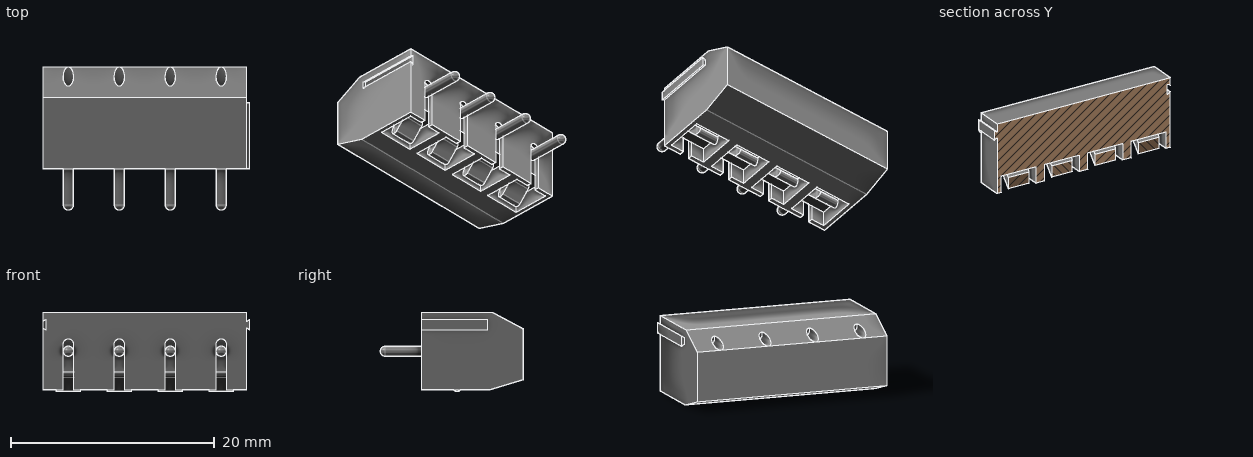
import cadquery as cq
import math

pole_count = 4
pole_pitch = 5.0
housing_width = pole_count * pole_pitch
housing_depth = 10.0
housing_height = 7.6

top_flat_depth = 7.0
bottom_flat_depth = 6.7
rear_top_z = 6.0
rear_bottom_z = 1.0

dovetail_length = 6.5
dovetail_z = 6.4
dovetail_flare = 0.18
dovetail_neck = 0.68
rib_projection = 0.29
groove_depth = 0.33

pin_diameter = 1.0
pin_radius = pin_diameter / 2
pin_projection = 4.05
pin_z = 3.8

slot_width = 1.02
slot_top_z = 5.0
front_wall = 0.5
cavity_width = 4.0
cavity_depth = 4.0
cavity_height = 1.77

test_hole_diameter = 1.0
test_hole_z = rear_top_z + test_hole_diameter / 2
test_hole_depth = 3.0

bar_length = 2.4
bar_radius = 0.42
bar_tilt = 42.0
toe_y = 3.5
toe_drop = 0.17
toe_z = bar_radius - toe_drop
nose_z = 1.48
nose_y = toe_y - (nose_z - toe_z) * math.tan(math.radians(bar_tilt))
end_taper = 15.0

pole_positions = [(pole + 0.5) * pole_pitch for pole in range(pole_count)]


def dovetail(start_x, projection):
    """Dovetail prism widening toward +X, running back from the mating face."""
    half_neck = dovetail_neck / 2
    half_outer = half_neck + dovetail_flare
    return (
        cq.Workplane("XZ", origin=(start_x, 0, dovetail_z))
        .polyline([
            (0, -half_neck),
            (projection, -half_outer),
            (projection, half_outer),
            (0, half_neck),
        ])
        .close()
        .extrude(-dovetail_length)
    )


def pin_slot(x):
    """Round-topped slot through the front wall, open at the underside."""
    slot_radius = slot_width / 2
    arc_z = slot_top_z - slot_radius
    return (
        cq.Workplane("XZ")
        .moveTo(x - slot_radius, 0)
        .lineTo(x - slot_radius, arc_z)
        .threePointArc((x, slot_top_z), (x + slot_radius, arc_z))
        .lineTo(x + slot_radius, 0)
        .close()
        .extrude(-front_wall)
    )


def clamp_cavity(x):
    """Pocket behind the front wall, open at the underside."""
    return cq.Workplane("XY").box(
        cavity_width, cavity_depth, cavity_height, centered=(True, False, False)
    ).translate((x, front_wall, 0))


def test_hole(x):
    """Blind round hole along Y that breaks out of the rear slope."""
    return (
        cq.Workplane("XZ", origin=(x, housing_depth, test_hole_z))
        .circle(test_hole_diameter / 2)
        .extrude(test_hole_depth)
    )


def make_clamp_bar(x):
    """Tilted bar with round long edges, its ends tapered behind the toe."""
    mid_y = (nose_y + toe_y) / 2
    mid_z = (nose_z + toe_z) / 2
    overall = math.hypot(toe_y - nose_y, nose_z - toe_z) + 2 * bar_radius
    bar = (
        cq.Workplane("YZ", origin=(x - bar_length / 2, mid_y, mid_z))
        .slot2D(overall, 2 * bar_radius, bar_tilt - 90)
        .extrude(bar_length)
    )
    half_length = bar_length / 2
    back_y = toe_y + bar_radius
    taper_run = bar_radius * math.tan(math.radians(end_taper))
    plan = (
        cq.Workplane("XY", origin=(x, 0, -bar_radius))
        .polyline([
            (-half_length, 0),
            (half_length, 0),
            (half_length, toe_y),
            (half_length - taper_run, back_y),
            (taper_run - half_length, back_y),
            (-half_length, toe_y),
        ])
        .close()
        .extrude(housing_height)
    )
    return bar.intersect(plan)


def make_pin(x):
    """Round pin standing on the slot floor, with a hemispherical tip."""
    tip_start = pin_projection - pin_radius
    shank = (
        cq.Workplane("XZ", origin=(x, front_wall, pin_z))
        .circle(pin_radius)
        .extrude(front_wall + tip_start)
    )
    tip = cq.Workplane("XY").sphere(pin_radius).translate((x, -tip_start, pin_z))
    return shank.union(tip)


def make_housing(clamp_bars):
    """Block with its end dovetails and pole openings, and seats for the clamp bars."""
    body = (
        cq.Workplane("YZ")
        .polyline([
            (0, 0),
            (bottom_flat_depth, 0),
            (housing_depth, rear_bottom_z),
            (housing_depth, rear_top_z),
            (top_flat_depth, housing_height),
            (0, housing_height),
        ])
        .close()
        .extrude(housing_width)
    )
    body = body.union(dovetail(housing_width, rib_projection))
    body = body.cut(dovetail(0, groove_depth))
    for x in pole_positions:
        body = body.cut(pin_slot(x))
        body = body.cut(clamp_cavity(x))
        body = body.cut(test_hole(x))
    for bar in clamp_bars:
        body = body.cut(bar)
    return body


clamp_bars = [make_clamp_bar(x) for x in pole_positions]
pins = [make_pin(x) for x in pole_positions]
housing = make_housing(clamp_bars)

result = cq.Compound.makeCompound([
    housing.val(),
    *[pin.val() for pin in pins],
    *[bar.val() for bar in clamp_bars],
])